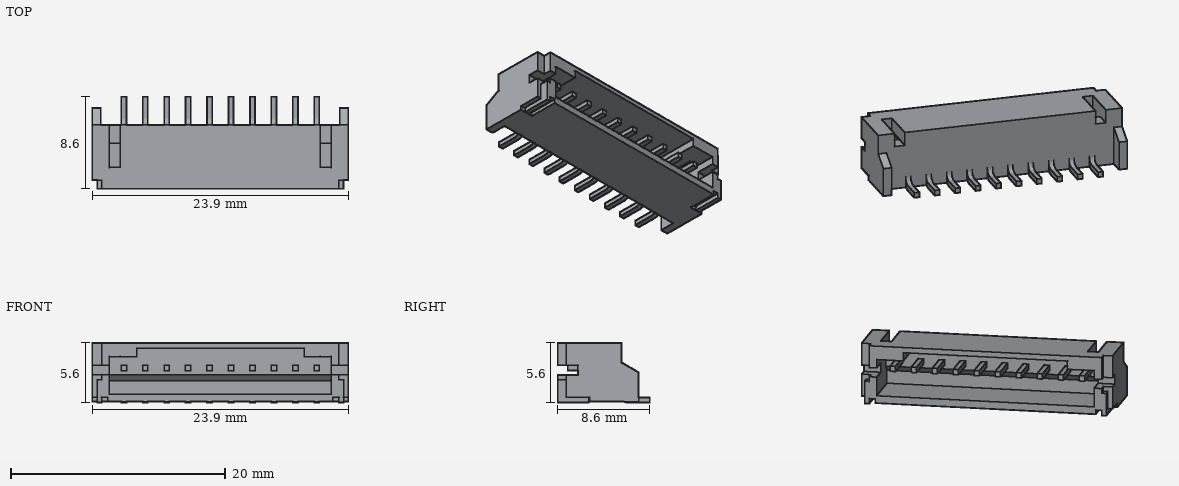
import cadquery as cq
import math

length = 23.9
height = 5.6
body_depth = 5.98
board_gap = 0.1
half_length = length / 2

corner_width = 0.88
corner_depth = 0.81

wing_width = 0.81
wing_back = 7.55
wing_slope_top = 3.75
wing_slope_bottom = 2.85

cavity_half_width = 10.35
cavity_depth = 4.25
cavity_floor = 0.81
shoulder_ceiling = 4.3
centre_ceiling = 5.1
centre_half_width = 7.82
undercut_top = 2.6
undercut_bottom = 2.05
undercut_depth = undercut_top - undercut_bottom

notch_depth = 1.9
notch_bottom = undercut_top
notch_top = 3.5

slot_width = 1.0
slot_front = 2.0

tab_thickness = 0.43
tab_height = 2.15
tab_foot = 2.9
tab_foot_height = 0.5
relief_width = 1.45
relief_depth = 3.0

pin_count = 10
pin_span = 18.0
pin_pitch = pin_span / (pin_count - 1)
pin_size = 0.5
pin_tip = 0.93
pin_top = notch_top
pin_back = 8.6
bend_radius = 0.65


def box(x0, x1, y0, y1, z0, z1):
    """Box between two opposite corners."""
    return cq.Workplane("XY").box(x1 - x0, y1 - y0, z1 - z0, centered=False).translate((x0, y0, z0))


def extrude_along_x(points, x0, x1):
    """Prism with a (Y, Z) outline, reaching from x0 to x1."""
    return cq.Workplane("YZ").polyline(points).close().extrude(x1 - x0).translate((x0, 0, 0))


def both_ends(shape):
    """Shape at the -X end together with its mirror image at the +X end."""
    return shape.union(shape.mirror("YZ"))


def wings():
    """Walls with a sloping top that carry the ends of the housing further back."""
    outline = [
        (body_depth, board_gap),
        (wing_back, board_gap),
        (wing_back, wing_slope_bottom),
        (body_depth, wing_slope_top),
    ]
    return both_ends(extrude_along_x(outline, -half_length, -half_length + wing_width))


def cavity():
    """Stepped mating opening with an undercut at the foot of its back wall."""
    outline = [
        (0, cavity_floor),
        (cavity_depth + undercut_depth, cavity_floor),
        (cavity_depth + undercut_depth, undercut_bottom),
        (cavity_depth, undercut_top),
        (cavity_depth, shoulder_ceiling),
        (0, shoulder_ceiling),
    ]
    main = extrude_along_x(outline, -cavity_half_width, cavity_half_width)
    raised = box(-centre_half_width, centre_half_width, 0, cavity_depth, shoulder_ceiling, centre_ceiling)
    return main.union(raised)


def end_cuts():
    """Corner rebate, side notch, roof slot and tab relief at each end."""
    left = -half_length
    rebate = box(left, left + corner_width, 0, corner_depth, 0, height)
    notch = box(left, -cavity_half_width, 0, notch_depth, notch_bottom, notch_top)
    slot_left = -cavity_half_width
    slot = box(slot_left, slot_left + slot_width, slot_front, body_depth, shoulder_ceiling, height)
    relief = box(left, left + relief_width, 0, relief_depth, board_gap, tab_foot_height)
    return both_ends(rebate.union(notch).union(slot).union(relief))


def solder_tabs():
    """L-shaped tabs: an upright in each corner rebate and a foot under the housing."""
    right = -half_length + corner_width
    left = right - tab_thickness
    upright = box(left, right, 0, corner_depth, 0, tab_height)
    foot = box(left, right, 0, tab_foot, 0, tab_foot_height)
    return both_ends(upright.union(foot))


def contact():
    """Square contact: straight mating pin, drop at the back of the housing, bend and solder foot."""
    outer_radius = bend_radius + pin_size
    leg_back = body_depth
    leg_front = leg_back - pin_size
    bend_y = leg_back + bend_radius
    bend_z = outer_radius
    diagonal = math.cos(math.radians(45))
    inner_middle = (bend_y - bend_radius * diagonal, bend_z - bend_radius * diagonal)
    outer_middle = (bend_y - outer_radius * diagonal, bend_z - outer_radius * diagonal)
    outline = (
        cq.Workplane("YZ")
        .moveTo(pin_tip, pin_top)
        .lineTo(leg_back, pin_top)
        .lineTo(leg_back, bend_z)
        .threePointArc(inner_middle, (bend_y, pin_size))
        .lineTo(pin_back, pin_size)
        .lineTo(pin_back, 0)
        .lineTo(bend_y, 0)
        .threePointArc(outer_middle, (leg_front, bend_z))
        .lineTo(leg_front, pin_top - pin_size)
        .lineTo(pin_tip, pin_top - pin_size)
        .close()
    )
    return outline.extrude(pin_size / 2, both=True)


housing = box(-half_length, half_length, 0, body_depth, board_gap, height)
housing = housing.union(wings()).cut(cavity()).cut(end_cuts())

result = housing.union(solder_tabs())
single_contact = contact()
for index in range(pin_count):
    x = index * pin_pitch - pin_span / 2
    result = result.union(single_contact.translate((x, 0, 0)))